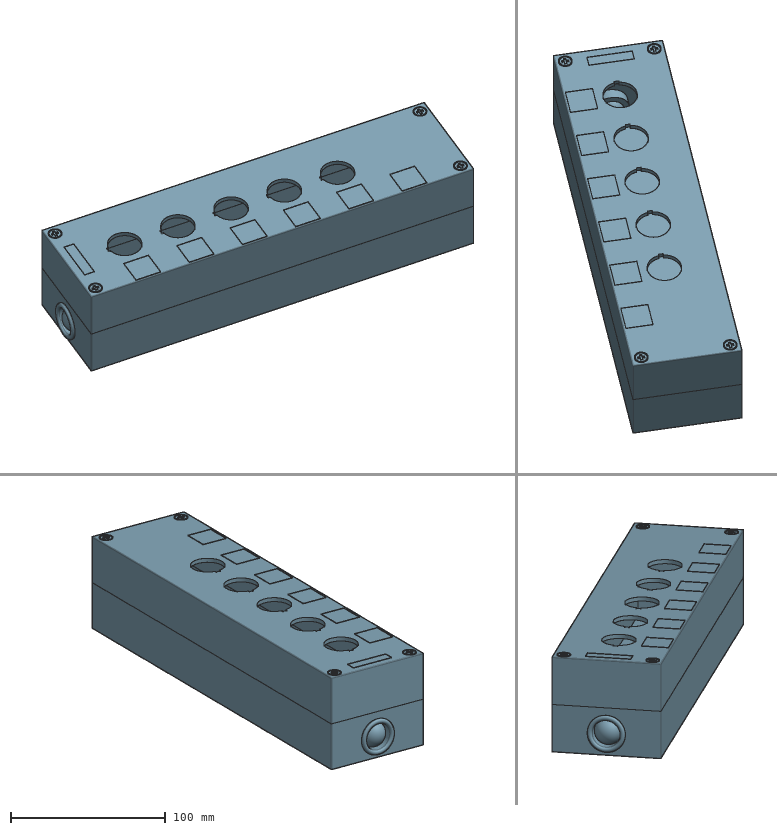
import cadquery as cq

width = 72.0
overall_length = 279.0
height = 65.0
wall = 2.8
edge_radius = 0.42
plug_projection = 2.2
front_tip_y = -overall_length / 2
front_face_y = front_tip_y + plug_projection
box_length = overall_length - plug_projection
box_center_y = front_face_y + box_length / 2
top_z = height / 2
bottom_z = -height / 2
parting_z = 0.0

station_count = 6
station_pitch = 38.5
rear_station_y = 97.5
station_ys = [rear_station_y - station_pitch * i for i in range(station_count)]
button_radius = 11.2
key_width = 3.0
key_reach = 12.3
nameplate_size = 17.9
nameplate_x = 25.5
mark_depth = 0.3

label_width = 29.9
label_length = 7.0
label_y = -128.0

screw_x = 29.3
screw_y_span = 264.0
well_radius = 4.5
head_radius = 4.0
head_gap_depth = 0.3
cross_length = 4.5
cross_width = 1.5
cross_depth = 0.8

plug_z = -17.5
plug_radius = 12.5
bead_radius = 1.7
bead_center_y = front_tip_y + bead_radius
bead_ring_radius = plug_radius - bead_radius
dome_radius = plug_radius - 2 * bead_radius
dome_center_y = front_tip_y + dome_radius
plug_back_y = dome_center_y + wall


def block(x_size, y_size, z_low, z_high):
    """Box centred on the enclosure, between two heights."""
    return (
        cq.Workplane("XY", origin=(0, box_center_y, z_low))
        .rect(x_size, y_size)
        .extrude(z_high - z_low)
    )


def cavity(z_low, z_high):
    """Inner space of the enclosure between two heights."""
    return block(width - 2 * wall, box_length - 2 * wall, z_low, z_high)


def top_pocket(x, y, x_size, y_size, depth):
    """Rectangular cutter sunk into the top face."""
    return cq.Workplane("XY", origin=(x, y, top_z - depth)).rect(x_size, y_size).extrude(depth)


def button_hole(y):
    """Through hole with an anti-rotation key notch toward the front."""
    bore = cq.Workplane("XY", origin=(0, y, top_z - wall)).circle(button_radius).extrude(wall)
    key = top_pocket(0, y - key_reach / 2, key_width, key_reach, wall)
    return bore.union(key)


def screw_recess(x, y):
    """Ring-shaped gap around a screw head, and the cross recess in the head."""
    gap = (
        cq.Workplane("XY", origin=(x, y, top_z - head_gap_depth))
        .circle(well_radius)
        .circle(head_radius)
        .extrude(head_gap_depth)
    )
    slot_along_x = top_pocket(x, y, cross_length, cross_width, cross_depth)
    slot_along_y = top_pocket(x, y, cross_width, cross_length, cross_depth)
    return gap.union(slot_along_x).union(slot_along_y)


def front_disc(radius, y_back, y_front):
    """Cylinder on the plug axis, running forward from y_back to y_front."""
    return cq.Workplane("XZ", origin=(0, y_back, plug_z)).circle(radius).extrude(y_back - y_front)


def make_lid():
    lid = block(width, box_length, parting_z, top_z)
    lid = lid.edges("|Z or >Z").fillet(edge_radius)
    lid = lid.cut(cavity(parting_z, top_z - wall))
    for y in station_ys:
        lid = lid.cut(top_pocket(nameplate_x, y, nameplate_size, nameplate_size, mark_depth))
    for y in station_ys[1:]:
        lid = lid.cut(button_hole(y))
    lid = lid.cut(top_pocket(0, label_y, label_width, label_length, mark_depth))
    for x in (-screw_x, screw_x):
        for side in (-1, 1):
            lid = lid.cut(screw_recess(x, box_center_y + side * screw_y_span / 2))
    return lid


def make_base():
    base = block(width, box_length, bottom_z, parting_z)
    base = base.edges("|Z or <Z").fillet(edge_radius)
    base = base.cut(cavity(bottom_z + wall, parting_z))
    base = base.union(front_disc(plug_radius, plug_back_y, bead_center_y))
    base = base.cut(front_disc(dome_radius, dome_center_y, bead_center_y))
    bead = (
        cq.Workplane("XY", origin=(0, bead_center_y, plug_z))
        .center(bead_ring_radius, 0)
        .circle(bead_radius)
        .revolve(360, (-bead_ring_radius, 0, 0), (-bead_ring_radius, 1, 0))
    )
    dome = cq.Workplane("XY", origin=(0, dome_center_y, plug_z)).sphere(dome_radius)
    return base.union(bead).union(dome)


lid = make_lid()
base = make_base()

result = cq.Compound.makeCompound([lid.solids().val(), base.solids().val()])